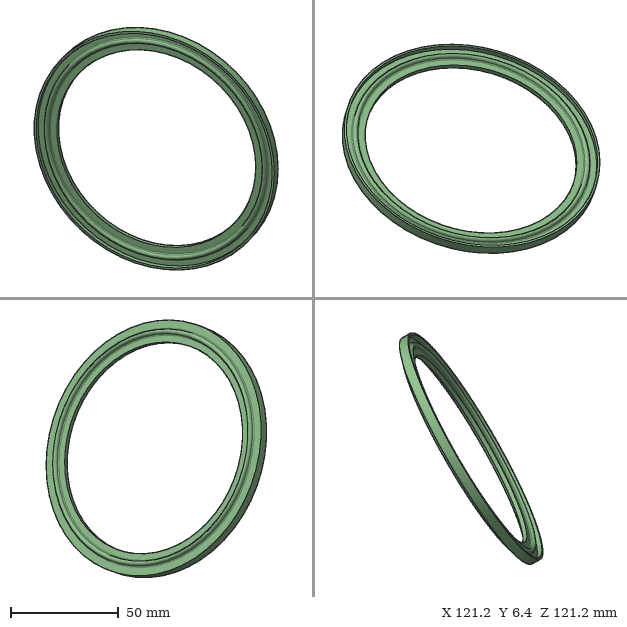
import cadquery as cq

outer_diameter = 121.2
lip_inner_diameter = 119.0
bead_outer_diameter = 112.4
bead_inner_diameter = 107.6
bore_diameter = 100.2

total_depth = 6.4
bead_height = 1.8
web_thickness = 2.2
bead_root_radius = 0.5

outer_radius = outer_diameter / 2
lip_inner_radius = lip_inner_diameter / 2
bead_outer_radius = bead_outer_diameter / 2
bead_inner_radius = bead_inner_diameter / 2
bore_radius = bore_diameter / 2

lip_front_y = -total_depth / 2
web_back_y = total_depth / 2 - bead_height
web_front_y = web_back_y - web_thickness

crest_radius = (bead_outer_radius - bead_inner_radius) / 2
bead_middle_radius = (bead_outer_radius + bead_inner_radius) / 2


def revolve_about_y(section):
    """Revolve a half section, drawn with X as the radius, into a full ring."""
    return section.revolve(360, (0, 0, 0), (0, 1, 0))


def ring(inner_radius, ring_radius, front_y, back_y):
    """Plain rectangular ring between two positions along Y."""
    section = (
        cq.Workplane("XY")
        .moveTo(inner_radius, front_y)
        .lineTo(ring_radius, front_y)
        .lineTo(ring_radius, back_y)
        .lineTo(inner_radius, back_y)
        .close()
    )
    return revolve_about_y(section)


def bead(face_y, direction):
    """Round-topped bead with concave roots, rising from a web face along +Y (1) or -Y (-1)."""
    root_top_y = face_y + direction * bead_root_radius
    tip_y = face_y + direction * bead_height
    crest_start_y = tip_y - direction * crest_radius
    buried_y = face_y - direction * web_thickness / 2
    root_outer_radius = bead_outer_radius + bead_root_radius
    root_inner_radius = bead_inner_radius - bead_root_radius
    section = (
        cq.Workplane("XY")
        .moveTo(root_outer_radius, buried_y)
        .lineTo(root_outer_radius, face_y)
        .radiusArc((bead_outer_radius, root_top_y), direction * bead_root_radius)
        .lineTo(bead_outer_radius, crest_start_y)
        .threePointArc((bead_middle_radius, tip_y), (bead_inner_radius, crest_start_y))
        .lineTo(bead_inner_radius, root_top_y)
        .radiusArc((root_inner_radius, face_y), direction * bead_root_radius)
        .lineTo(root_inner_radius, buried_y)
        .close()
    )
    return revolve_about_y(section)


web = ring(bore_radius, outer_radius, web_front_y, web_back_y)
lip = ring(lip_inner_radius, outer_radius, lip_front_y, web_back_y)

result = web.union(lip).union(bead(web_back_y, 1)).union(bead(web_front_y, -1))